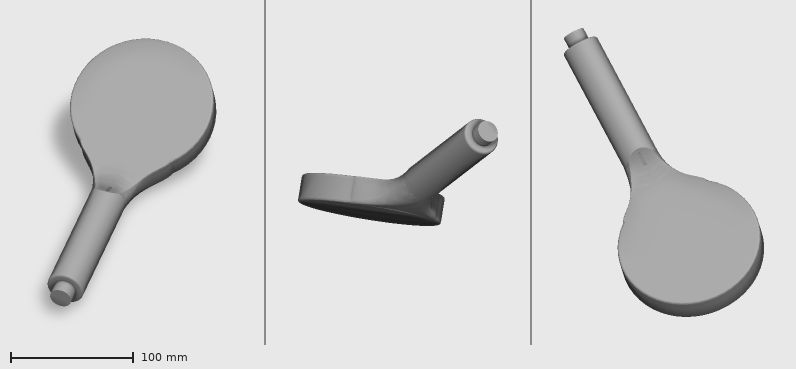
import cadquery as cq
import math

HANDLE_RADIUS = 15.5
HANDLE_END_Y = 11.0
HANDLE_FILLET = 1.9
SPIGOT_RADIUS = 9.0

TILT = 20
HEAD_RADIUS = 59.0
HEAD_THICKNESS = 22.5
HEAD_FILLET = 1.9
FACE_CENTER_Y = 203.0
FACE_CENTER_Z = 30.0

HEAD_BOTTOM_Z = FACE_CENTER_Z - HEAD_THICKNESS / math.cos(math.radians(TILT))
CORNER_Y = FACE_CENTER_Y - (HEAD_BOTTOM_Z + HANDLE_RADIUS) / math.tan(math.radians(TILT))
BEND_RADIUS = 151.5
NECK_START_Y = CORNER_Y - BEND_RADIUS * math.tan(math.radians(TILT / 2))
BEND_CENTER_Z = BEND_RADIUS - HANDLE_RADIUS

NECK_END_Y = NECK_START_Y + (BEND_RADIUS - HEAD_THICKNESS) * math.sin(math.radians(TILT))
NECK_END_Z = BEND_CENTER_Z - (BEND_RADIUS - HEAD_THICKNESS) * math.cos(math.radians(TILT))
CHORD_DISTANCE = math.hypot(FACE_CENTER_Y - NECK_END_Y, FACE_CENTER_Z - NECK_END_Z)
NECK_END_HALF_WIDTH = math.sqrt(HEAD_RADIUS**2 - CHORD_DISTANCE**2)

NECK_EXCESS = 0.5

ROUND_CORNER = HANDLE_RADIUS - 0.13
NECK_SECTIONS = [
    (0, HANDLE_RADIUS, 2 * HANDLE_RADIUS, ROUND_CORNER, ROUND_CORNER),
    (4, 16.5, 26.5, 12.0, 12.8),
    (8, 19.0, 22.5, 5.3, 9.5),
    (12, 23.7, 22.5, 3.2, 5.8),
    (16, 32.0, 23.0, 2.7, 3.2),
    (TILT, NECK_END_HALF_WIDTH, HEAD_THICKNESS + NECK_EXCESS, HEAD_FILLET + NECK_EXCESS, HEAD_FILLET),
]

SCOOP_HEAD_Y = 143.5
SCOOP_LOW_Y = 133.0
SCOOP_LOW_Z = 6.5
SCOOP_END_Y = 112.5
SCOOP_CLEARANCE = 26.5

MARK_WIDTH = 2.7
MARK_START_Y = 115.7
MARK_END_Y = 126.0
MARK_DEPTH = 0.5


def face_height(y):
    """Height of the head's upper plane at a given Y."""
    return FACE_CENTER_Z + (y - FACE_CENTER_Y) * math.tan(math.radians(TILT))


def cylinder_along_y(radius, start_y, end_y):
    plane = cq.Plane(origin=(0, start_y, 0), xDir=(-1, 0, 0), normal=(0, 1, 0))
    return cq.Workplane(plane).circle(radius).extrude(end_y - start_y)


def make_handle():
    grip = cylinder_along_y(HANDLE_RADIUS, HANDLE_END_Y, NECK_START_Y)
    grip = grip.faces("<Y").edges().fillet(HANDLE_FILLET)
    return grip.union(cylinder_along_y(SPIGOT_RADIUS, 0, HANDLE_END_Y))


def make_head():
    angle = math.radians(TILT)
    plane = cq.Plane(
        origin=(0, FACE_CENTER_Y, FACE_CENTER_Z),
        xDir=(1, 0, 0),
        normal=(0, -math.sin(angle), math.cos(angle)),
    )
    disc = cq.Workplane(plane).circle(HEAD_RADIUS).extrude(-HEAD_THICKNESS)
    return disc.edges().fillet(HEAD_FILLET)


def neck_section(bend, half_width, height, top_radius, bottom_radius):
    """Rounded rectangle standing square to the underside arc."""
    angle = math.radians(bend)
    plane = cq.Plane(
        origin=(
            0,
            NECK_START_Y + BEND_RADIUS * math.sin(angle),
            BEND_CENTER_Z - BEND_RADIUS * math.cos(angle),
        ),
        xDir=(1, 0, 0),
        normal=(0, -math.cos(angle), -math.sin(angle)),
    )
    diagonal = math.sqrt(0.5)
    bottom_x = half_width - bottom_radius
    top_x = half_width - top_radius
    top_y = height - top_radius
    outline = (
        cq.Workplane(plane)
        .moveTo(-bottom_x, 0)
        .lineTo(bottom_x, 0)
        .threePointArc(
            (bottom_x + bottom_radius * diagonal, bottom_radius * (1 - diagonal)),
            (half_width, bottom_radius),
        )
        .lineTo(half_width, top_y)
        .threePointArc((top_x + top_radius * diagonal, top_y + top_radius * diagonal), (top_x, height))
        .lineTo(-top_x, height)
        .threePointArc((-top_x - top_radius * diagonal, top_y + top_radius * diagonal), (-half_width, top_y))
        .lineTo(-half_width, bottom_radius)
        .threePointArc(
            (-bottom_x - bottom_radius * diagonal, bottom_radius * (1 - diagonal)),
            (-bottom_x, 0),
        )
        .close()
    )
    return outline.val()


def make_neck():
    sections = [neck_section(*section) for section in NECK_SECTIONS]
    return cq.Workplane(cq.Solid.makeLoft(sections))


def make_scoop(depth=0.0):
    """Space above the head plane and the thumb scoop, lowered by depth."""
    top_z = FACE_CENTER_Z + SCOOP_CLEARANCE
    profile = (
        cq.Workplane("YZ")
        .moveTo(FACE_CENTER_Y, FACE_CENTER_Z - depth)
        .lineTo(SCOOP_HEAD_Y, face_height(SCOOP_HEAD_Y) - depth)
        .spline(
            [(SCOOP_LOW_Y, SCOOP_LOW_Z - depth), (SCOOP_END_Y, HANDLE_RADIUS - depth)],
            includeCurrent=True,
        )
        .lineTo(SCOOP_END_Y, top_z)
        .lineTo(FACE_CENTER_Y, top_z)
        .close()
    )
    return profile.extrude(HEAD_RADIUS, both=True)


def make_mark():
    mark_length = MARK_END_Y - MARK_START_Y
    column = (
        cq.Workplane("XY")
        .center(0, (MARK_START_Y + MARK_END_Y) / 2)
        .rect(MARK_WIDTH, mark_length)
        .extrude(HANDLE_RADIUS)
    )
    return column.intersect(make_scoop(MARK_DEPTH))


body = make_handle().union(make_neck()).union(make_head())
result = body.cut(make_scoop()).cut(make_mark())